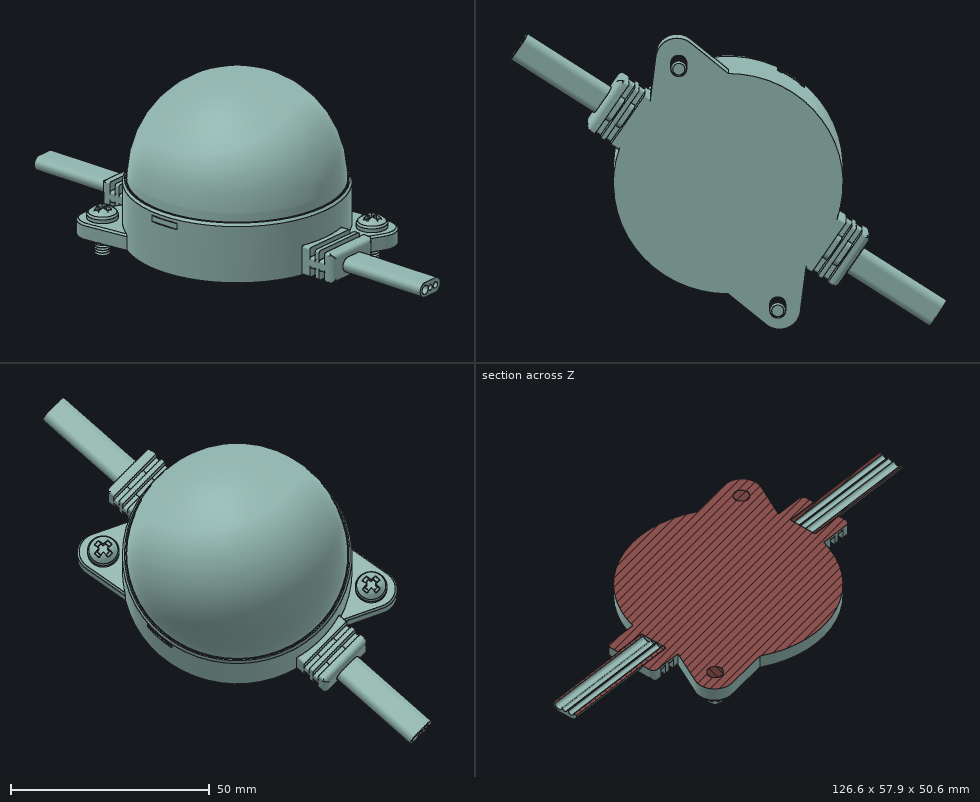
import cadquery as cq
import math

LENGTH = 126.6

HOUSING_DIAMETER = 57.9
HOUSING_RADIUS = HOUSING_DIAMETER / 2
HOUSING_HEIGHT = 16.2
RIM_CHAMFER_WIDTH = 0.5
RIM_CHAMFER_HEIGHT = 0.8
NOTCH_WIDTH = 8.2
NOTCH_HEIGHT = 1.6
NOTCH_BOTTOM = 12.8
NOTCH_DEPTH = 0.4

FLANGE_DIAMETER = 56.2
FLANGE_THICKNESS = 1.3
DOME_TOP = 45.0
DOME_RADIUS = 27.7
SKIRT_FOOT_RADIUS = 27.9
SKIRT_TOP = 18.5

EAR_DIRECTIONS = (35.0, 215.0)
EAR_HEIGHT = 4.3
EAR_CHAMFER = 0.5
EAR_TIP_DISTANCE = 35.3
EAR_TIP_RADIUS = 5.3
EAR_SIDE_ANGLE = 28.5
EAR_ROOT_DISTANCE = 22.8

SCREW_DISTANCE = 34.0
SCREW_DIAMETER = 4.0
SCREW_CORE_DIAMETER = 3.0
SCREW_TIP_DEPTH = 5.6
THREAD_COUNT = 8
THREAD_PITCH = SCREW_TIP_DEPTH / THREAD_COUNT
HEAD_DIAMETER = 8.0
HEAD_EDGE_HEIGHT = 1.0
HEAD_SHOULDER_DIAMETER = 7.3
HEAD_SHOULDER_HEIGHT = 1.6
HEAD_HEIGHT = 3.4
HEAD_CROWN_MIDDLE = (2.0, 2.9)
CROSS_ARM_WIDTH = 1.5
CROSS_STEPS = ((4.8, 1.1), (3.0, 1.8))

CABLE_AXIS_Z = 3.8
CABLE_WIDTH = 8.0
CABLE_THICKNESS = 4.0
WIRE_BORES = ((-2.0, 2.4), (0.0, 1.5), (2.0, 1.6))

GROMMET_END = 38.0
GROMMET_WIDTH = 15.8
GROMMET_HEIGHT = 8.1
GROMMET_EDGE_RADIUS = 0.6
GROMMET_END_RADIUS = 1.5
END_RIB_LENGTH = 2.8
RIB_LENGTH = 1.3
GROOVE_LENGTH = 1.8
GROOVE_COUNT = 2
WEB_THICKNESS = 3.0
GROMMET_AXIS_Z = GROMMET_HEIGHT / 2

CABLE_DIRECTIONS = (0.0, 180.0)


def turned(body, angle):
    """The body turned by an angle in degrees about the housing axis."""
    return body.rotate((0, 0, 0), (0, 0, 1), angle)


def make_drum():
    chamfer_start = HOUSING_HEIGHT - RIM_CHAMFER_HEIGHT
    rim_radius = HOUSING_RADIUS - RIM_CHAMFER_WIDTH
    drum = (
        cq.Workplane("XZ")
        .moveTo(0, 0)
        .lineTo(HOUSING_RADIUS, 0)
        .lineTo(HOUSING_RADIUS, chamfer_start)
        .lineTo(rim_radius, HOUSING_HEIGHT)
        .lineTo(0, HOUSING_HEIGHT)
        .close()
        .revolve(360, (0, 0, 0), (0, 1, 0))
    )
    for side in (-1, 1):
        notch = cq.Workplane("XY").box(NOTCH_WIDTH, 2 * NOTCH_DEPTH, NOTCH_HEIGHT)
        drum = drum.cut(notch.translate((0, side * HOUSING_RADIUS, NOTCH_BOTTOM + NOTCH_HEIGHT / 2)))
    return drum


def make_dome_seat():
    seat_floor = cq.Workplane("XY", origin=(0, 0, HOUSING_HEIGHT - FLANGE_THICKNESS))
    return seat_floor.circle(FLANGE_DIAMETER / 2).extrude(FLANGE_THICKNESS)


def make_ear():
    """One ear pointing along +X: straight sides closing onto a rounded tip."""
    side_angle = math.radians(EAR_SIDE_ANGLE)
    tangent_x = EAR_TIP_DISTANCE + EAR_TIP_RADIUS * math.sin(side_angle)
    tangent_y = EAR_TIP_RADIUS * math.cos(side_angle)
    root_y = tangent_y + (tangent_x - EAR_ROOT_DISTANCE) * math.tan(side_angle)
    return (
        cq.Workplane("XY")
        .moveTo(EAR_ROOT_DISTANCE, -root_y)
        .lineTo(tangent_x, -tangent_y)
        .threePointArc((EAR_TIP_DISTANCE + EAR_TIP_RADIUS, 0), (tangent_x, tangent_y))
        .lineTo(EAR_ROOT_DISTANCE, root_y)
        .close()
        .extrude(EAR_HEIGHT)
        .faces(">Z")
        .chamfer(EAR_CHAMFER)
    )


def make_screw_hole():
    return cq.Workplane("XY").center(SCREW_DISTANCE, 0).circle(SCREW_DIAMETER / 2).extrude(EAR_HEIGHT)


def make_grommet():
    """One grommet along +X, running from the housing axis to its outer end."""
    centre = (GROMMET_END / 2, 0, GROMMET_AXIS_Z)
    sleeve = cq.Workplane("XY").box(GROMMET_END, GROMMET_WIDTH, GROMMET_HEIGHT)
    sleeve = sleeve.edges("|X").fillet(GROMMET_EDGE_RADIUS)
    for end_edges in ("|Y", "|Z"):
        rounded = cq.Workplane("XY").box(GROMMET_END, GROMMET_WIDTH, GROMMET_HEIGHT)
        sleeve = sleeve.intersect(rounded.faces(">X").edges(end_edges).fillet(GROMMET_END_RADIUS))
    sleeve = sleeve.translate(centre)

    web = cq.Workplane("XY").box(GROMMET_END, GROMMET_WIDTH, WEB_THICKNESS)
    web = web.edges("|X").fillet(GROMMET_EDGE_RADIUS).translate(centre)
    for index in range(GROOVE_COUNT):
        groove_end = GROMMET_END - END_RIB_LENGTH - index * (GROOVE_LENGTH + RIB_LENGTH)
        groove = cq.Workplane("XY").box(GROOVE_LENGTH, GROMMET_WIDTH, GROMMET_HEIGHT)
        groove = groove.translate((groove_end - GROOVE_LENGTH / 2, 0, GROMMET_AXIS_Z))
        sleeve = sleeve.cut(groove.cut(web))
    return sleeve


def make_cable_envelope():
    """Solid outline of the cable along +X, from the housing wall to its free end."""
    return (
        cq.Workplane("YZ", origin=(HOUSING_RADIUS, 0, CABLE_AXIS_Z))
        .slot2D(CABLE_WIDTH, CABLE_THICKNESS)
        .extrude(LENGTH / 2 - HOUSING_RADIUS)
    )


def make_housing():
    housing = make_drum()
    for angle in EAR_DIRECTIONS:
        housing = housing.union(turned(make_ear(), angle))
    for angle in CABLE_DIRECTIONS:
        housing = housing.union(turned(make_grommet(), angle))
    housing = housing.cut(make_dome_seat())
    for angle in EAR_DIRECTIONS:
        housing = housing.cut(turned(make_screw_hole(), angle))
    for angle in CABLE_DIRECTIONS:
        housing = housing.cut(turned(make_cable_envelope(), angle))
    return housing


def make_dome():
    """Cap of a sphere above the flared skirt, with its flange flush with the housing rim."""
    sphere_rise = DOME_TOP - SKIRT_TOP
    sphere_radius = (DOME_RADIUS**2 + sphere_rise**2) / (2 * sphere_rise)
    middle_angle = math.radians(45)
    middle = (
        sphere_radius * math.cos(middle_angle),
        DOME_TOP - sphere_radius + sphere_radius * math.sin(middle_angle),
    )
    return (
        cq.Workplane("XZ")
        .moveTo(0, HOUSING_HEIGHT - FLANGE_THICKNESS)
        .lineTo(FLANGE_DIAMETER / 2, HOUSING_HEIGHT - FLANGE_THICKNESS)
        .lineTo(FLANGE_DIAMETER / 2, HOUSING_HEIGHT)
        .lineTo(SKIRT_FOOT_RADIUS, HOUSING_HEIGHT)
        .lineTo(DOME_RADIUS, SKIRT_TOP)
        .threePointArc(middle, (0, DOME_TOP))
        .close()
        .revolve(360, (0, 0, 0), (0, 1, 0))
    )


def make_cable():
    cable = make_cable_envelope()
    for offset, diameter in WIRE_BORES:
        bore = (
            cq.Workplane("YZ", origin=(HOUSING_RADIUS, offset, CABLE_AXIS_Z))
            .circle(diameter / 2)
            .extrude(LENGTH / 2 - HOUSING_RADIUS)
        )
        cable = cable.cut(bore)
    return cable


def make_screw():
    """Pan-head screw: ring-shaped threads below the ear, plain shank inside it."""
    shank_radius = SCREW_DIAMETER / 2
    core_radius = SCREW_CORE_DIAMETER / 2
    head_radius = HEAD_DIAMETER / 2
    crown_radius, crown_height = HEAD_CROWN_MIDDLE
    head_top = EAR_HEIGHT + HEAD_HEIGHT

    profile = cq.Workplane("XZ").moveTo(0, -SCREW_TIP_DEPTH)
    for index in range(THREAD_COUNT, 0, -1):
        root_z = -index * THREAD_PITCH
        profile = profile.lineTo(core_radius, root_z)
        profile = profile.lineTo(shank_radius, root_z + THREAD_PITCH / 2)
    screw = (
        profile.lineTo(core_radius, 0)
        .lineTo(shank_radius, 0)
        .lineTo(shank_radius, EAR_HEIGHT)
        .lineTo(head_radius, EAR_HEIGHT)
        .lineTo(head_radius, EAR_HEIGHT + HEAD_EDGE_HEIGHT)
        .lineTo(HEAD_SHOULDER_DIAMETER / 2, EAR_HEIGHT + HEAD_SHOULDER_HEIGHT)
        .threePointArc((crown_radius, EAR_HEIGHT + crown_height), (0, head_top))
        .close()
        .revolve(360, (0, 0, 0), (0, 1, 0))
    )
    for length, depth in CROSS_STEPS:
        floor = cq.Workplane("XY", origin=(0, 0, head_top - depth))
        screw = screw.cut(floor.rect(length, CROSS_ARM_WIDTH).extrude(depth))
        screw = screw.cut(floor.rect(CROSS_ARM_WIDTH, length).extrude(depth))
    return screw


def place_screw(angle):
    direction = math.radians(angle)
    return make_screw().translate(
        (SCREW_DISTANCE * math.cos(direction), SCREW_DISTANCE * math.sin(direction), 0)
    )


housing = make_housing()
dome = make_dome()
cables = [turned(make_cable(), angle) for angle in CABLE_DIRECTIONS]
screws = [place_screw(angle) for angle in EAR_DIRECTIONS]

result = cq.Compound.makeCompound(
    [housing.val(), dome.val()] + [cable.val() for cable in cables] + [screw.val() for screw in screws]
)